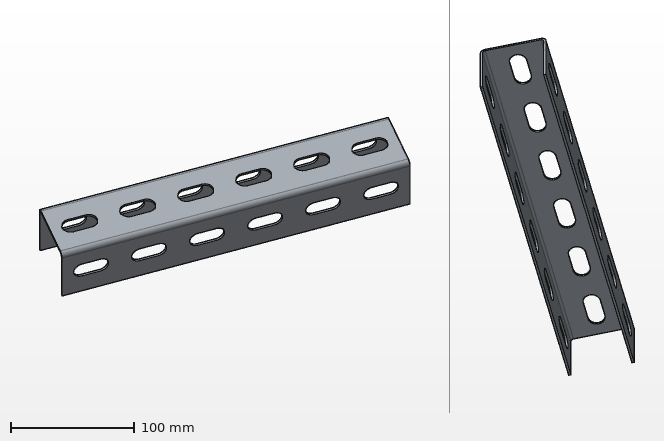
import cadquery as cq

length = 300.0
width = 55.0
height = 50.0
thickness = 2.0
bend_radius = 4.2

slot_count = 6
slot_length = 30.0
slot_width = 14.0

slot_pitch = length / slot_count
slot_height = height / 2


def channel():
    """Bent sheet: a web on top with two flanges pointing down."""
    outer = (
        cq.Workplane("XY")
        .box(width, length, height, centered=(True, True, False))
        .edges("|Y and >Z")
        .fillet(bend_radius)
    )
    inner = (
        cq.Workplane("XY")
        .box(width - 2 * thickness, length, height - thickness, centered=(True, True, False))
        .edges("|Y and >Z")
        .fillet(bend_radius - thickness)
    )
    return outer.cut(inner)


slot_places = [(i - (slot_count - 1) / 2) * slot_pitch for i in range(slot_count)]

web_slots = (
    cq.Workplane("XY", origin=(0, 0, slot_height))
    .pushPoints([(0, y) for y in slot_places])
    .slot2D(slot_length, slot_width, 90)
    .extrude(height)
)

flange_slots = (
    cq.Workplane("YZ", origin=(0, 0, slot_height))
    .pushPoints([(y, 0) for y in slot_places])
    .slot2D(slot_length, slot_width)
    .extrude(width, both=True)
)

result = channel().cut(web_slots).cut(flange_slots)